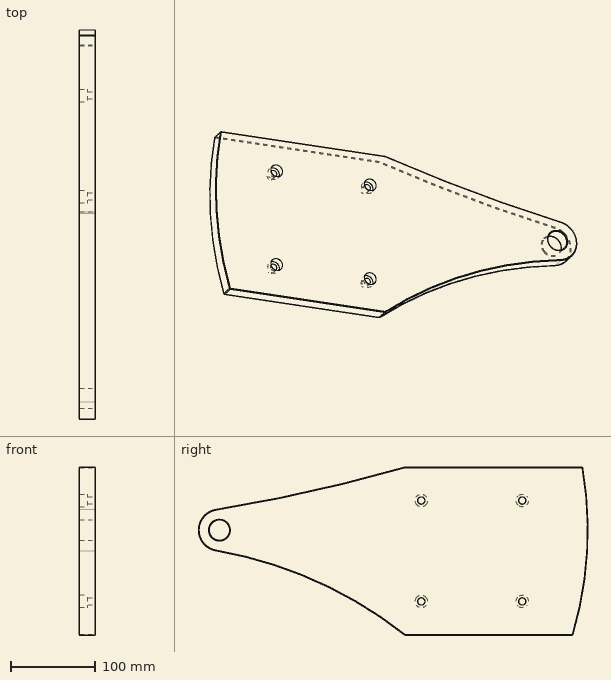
import cadquery as cq
import math

length = 462.5
height = 200.0
thickness = 20.0
nose_radius = 25.0
pivot_diameter = 24.0
top_above_pivot = 75.0
knee_distance = 220.0
upper_flank_radius = 1998.0
lower_flank_radius = 499.5
edge_chamfer = 1.0

mount_diameter = 8.5
counterbore_diameter = 15.0
counterbore_depth = 10.0
mount_spacing = 120.0
mount_edge_inset = 40.2
mount_front_distance = 239.5

pivot_y = -length / 2 + nose_radius
pivot_z = height / 2 - top_above_pivot
back_radius = length - nose_radius
knee_y = pivot_y + knee_distance


def back_point(z):
    """Point at height z on the back arc, which is centred on the pivot."""
    return pivot_y + math.sqrt(back_radius**2 - (z - pivot_z) ** 2), z


def flank_points(radius, knee_z):
    """Middle and nose end of a concave arc from a knee, tangent to the nose."""
    side = math.copysign(1, knee_z - pivot_z)
    rise = knee_z - pivot_z
    reach = radius + nose_radius
    knee_reach = math.hypot(knee_distance, rise)
    cosine = (reach**2 + knee_reach**2 - radius**2) / (2 * reach * knee_reach)
    direction = math.atan2(rise, knee_distance) + side * math.acos(cosine)
    centre_y = pivot_y + reach * math.cos(direction)
    centre_z = pivot_z + reach * math.sin(direction)
    nose_y = pivot_y + nose_radius * math.cos(direction)
    nose_z = pivot_z + nose_radius * math.sin(direction)
    middle_y = (knee_y + nose_y) / 2 - centre_y
    middle_z = (knee_z + nose_z) / 2 - centre_z
    stretch = radius / math.hypot(middle_y, middle_z)
    middle = (centre_y + middle_y * stretch, centre_z + middle_z * stretch)
    return middle, (nose_y, nose_z)


def make_plate():
    top = height / 2
    bottom = -height / 2
    upper_middle, upper_nose = flank_points(upper_flank_radius, top)
    lower_middle, lower_nose = flank_points(lower_flank_radius, bottom)
    outline = (
        cq.Workplane("YZ", origin=(-thickness / 2, 0, 0))
        .moveTo(*back_point(top))
        .lineTo(knee_y, top)
        .threePointArc(upper_middle, upper_nose)
        .threePointArc((-length / 2, pivot_z), lower_nose)
        .threePointArc(lower_middle, (knee_y, bottom))
        .lineTo(*back_point(bottom))
        .threePointArc(back_point(pivot_z), back_point(top))
        .close()
    )
    plate = outline.extrude(thickness)
    pivot_hole = cylinder_along_x(pivot_diameter, pivot_y, pivot_z, thickness)
    corners = plate.edges("|X").edges(cq.selectors.BoxSelector(
        (-thickness, knee_y - edge_chamfer, -height),
        (thickness, length, height),
    ))
    plate = corners.chamfer(edge_chamfer).cut(pivot_hole)
    return plate.faces("<X or >X").edges().chamfer(edge_chamfer)


def cylinder_along_x(diameter, y, z, depth):
    """Cutting cylinder that enters from the -X face."""
    face = cq.Workplane("YZ", origin=(-thickness / 2, y, z))
    return face.circle(diameter / 2).extrude(depth)


result = make_plate()

mount_y = pivot_y + mount_front_distance
mount_z = -height / 2 + mount_edge_inset
for y in (mount_y, mount_y + mount_spacing):
    for z in (mount_z, mount_z + mount_spacing):
        result = result.cut(cylinder_along_x(mount_diameter, y, z, thickness))
        result = result.cut(cylinder_along_x(counterbore_diameter, y, z, counterbore_depth))